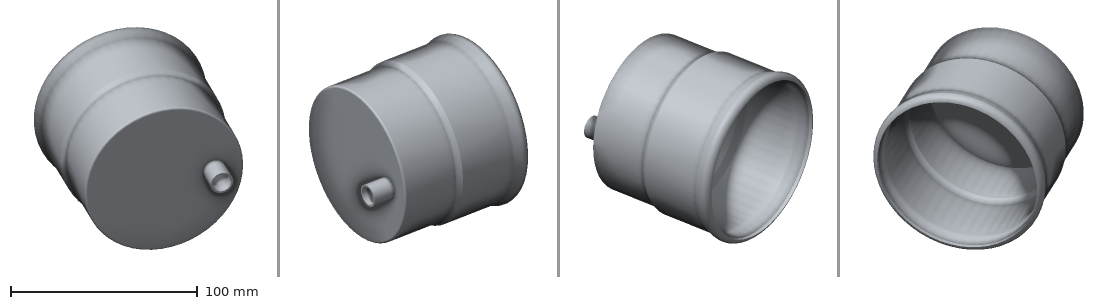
import cadquery as cq
import math

wall = 2.0

socket_radius = 46.6
spigot_radius = 44.6
body_length = 80.0
shoulder_start = 43.4
shoulder_end = 46.6
end_edge_radius = 1.2

bead_outer_radius = 48.5
bead_roll = 4.0
bead_inner_roll = bead_roll - wall
lip_radius = 45.2
flare_angle = math.radians(18.0)
flare_blend = 3.5

tube_length = 13.0
tube_outer_diameter = 12.6
tube_bore = 10.5
tube_offset_y = 28.2

roll_r = bead_outer_radius - bead_roll
roll_x = math.sqrt(bead_roll**2 - (lip_radius - roll_r) ** 2)

shoulder_angle = math.atan2(socket_radius - spigot_radius, shoulder_end - shoulder_start)
inner_shoulder_shift = wall * math.tan(shoulder_angle / 2)


def roll_point(roll, angle):
    """Point (x, r) on a roll circle; the angle turns from the outward radius toward +X."""
    return roll_x + roll * math.sin(angle), roll_r + roll * math.cos(angle)


def lip_angle(roll):
    """Angle at which a roll circle meets the lip, on its open-end side."""
    return -math.acos((lip_radius - roll_r) / roll)


def flare_blend_points(roll, cylinder_radius, blend_radius):
    """Start, middle and end of the arc joining the flare cone to a socket cylinder."""
    flare_x, flare_r = roll_point(roll, flare_angle)
    corner_x = flare_x + (flare_r - cylinder_radius) / math.tan(flare_angle)
    end_x = corner_x + blend_radius * math.tan(flare_angle / 2)
    centre_r = cylinder_radius + blend_radius

    def arc_point(angle):
        return end_x - blend_radius * math.sin(angle), centre_r - blend_radius * math.cos(angle)

    return arc_point(flare_angle), arc_point(flare_angle / 2), arc_point(0)


def make_shell():
    """Revolve the one-wall-thick profile of bead, socket, spigot and closed end about X."""
    outer_start, outer_mid, outer_end = flare_blend_points(bead_roll, socket_radius, flare_blend)
    inner_start, inner_mid, inner_end = flare_blend_points(
        bead_inner_roll, socket_radius - wall, flare_blend + wall
    )
    outer_roll_mid = (lip_angle(bead_roll) + flare_angle) / 2
    inner_roll_mid = (lip_angle(bead_inner_roll) + flare_angle) / 2

    profile = (
        cq.Workplane("XY")
        .moveTo(*roll_point(bead_roll, lip_angle(bead_roll)))
        .threePointArc(roll_point(bead_roll, outer_roll_mid), roll_point(bead_roll, flare_angle))
        .lineTo(*outer_start)
        .threePointArc(outer_mid, outer_end)
        .lineTo(shoulder_start, socket_radius)
        .lineTo(shoulder_end, spigot_radius)
        .lineTo(body_length, spigot_radius)
        .lineTo(body_length, 0)
        .lineTo(body_length - wall, 0)
        .lineTo(body_length - wall, spigot_radius - wall)
        .lineTo(shoulder_end, spigot_radius - wall)
        .lineTo(shoulder_start - inner_shoulder_shift, socket_radius - wall)
        .lineTo(*inner_end)
        .threePointArc(inner_mid, inner_start)
        .lineTo(*roll_point(bead_inner_roll, flare_angle))
        .threePointArc(
            roll_point(bead_inner_roll, inner_roll_mid),
            roll_point(bead_inner_roll, lip_angle(bead_inner_roll)),
        )
        .close()
    )
    shell = profile.revolve(360, (0, 0, 0), (1, 0, 0))
    return shell.faces(">X").edges().fillet(end_edge_radius)


def tube_cylinder(diameter, start_x, end_x):
    """Cylinder along X on the outlet tube axis."""
    return (
        cq.Workplane("YZ", origin=(start_x, tube_offset_y, 0))
        .circle(diameter / 2)
        .extrude(end_x - start_x)
    )


end_wall_inside = body_length - wall
tube_end = body_length + tube_length
tube = tube_cylinder(tube_outer_diameter, end_wall_inside, tube_end)
bore = tube_cylinder(tube_bore, end_wall_inside, tube_end)

result = make_shell().union(tube).cut(bore)